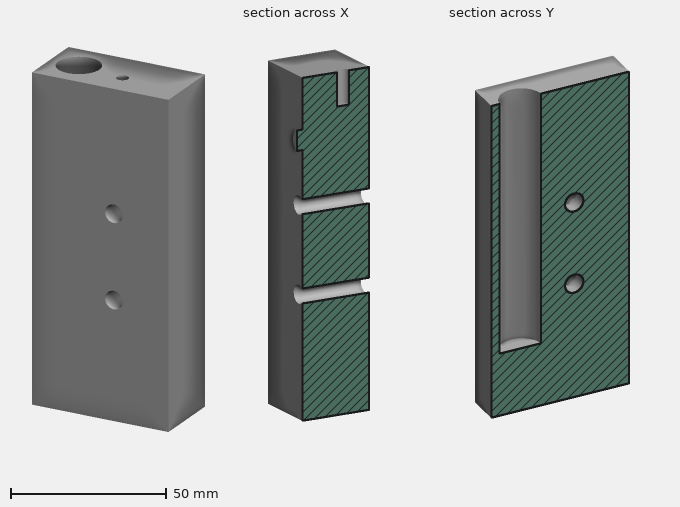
import cadquery as cq

width = 50.0
depth = 25.0
height = 115.5

mount_diameter = 6.5
mount_x = 30.0
mount_spacing = 30.0
mount_mid_z = 57.0

bore_diameter = 15.0
bore_x = 10.5
bore_y = depth / 2
bore_depth = 92.4

small_diameter = 4.3
small_x = 28.0
small_y = 9.7
small_depth = 11.5

knob_diameter = 8.0
knob_x = 26.1
knob_z = 94.6
knob_length = 2.1


def cylinder_along_y(x, y, z, diameter, length):
    """Cylinder starting at (x, y, z) and running toward +Y."""
    start = cq.Vector(x, y, z)
    return cq.Workplane(cq.Solid.makeCylinder(diameter / 2, length, start, cq.Vector(0, 1, 0)))


def top_hole(x, y, diameter, hole_depth):
    """Flat-bottomed vertical hole cutter reaching down from the top face."""
    start = cq.Vector(x, y, height)
    return cq.Workplane(cq.Solid.makeCylinder(diameter / 2, hole_depth, start, cq.Vector(0, 0, -1)))


result = cq.Workplane("XY").box(width, depth, height, centered=False)

for side in (-1, 1):
    mount_z = mount_mid_z + side * mount_spacing / 2
    result = result.cut(cylinder_along_y(mount_x, 0, mount_z, mount_diameter, depth))

result = result.cut(top_hole(bore_x, bore_y, bore_diameter, bore_depth))
result = result.cut(top_hole(small_x, small_y, small_diameter, small_depth))
result = result.union(cylinder_along_y(knob_x, depth, knob_z, knob_diameter, knob_length))